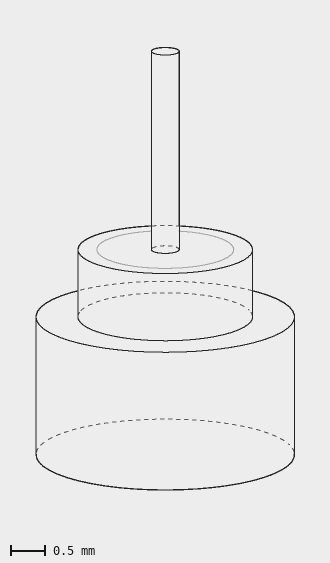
import cadquery as cq

body_diameter = 3.7
body_height = 2.05
collar_diameter = 2.5
collar_height = 1.0
insulator_diameter = 1.96
pin_diameter = 0.4
overall_height = 6.0

body_radius = body_diameter / 2
collar_radius = collar_diameter / 2
insulator_radius = insulator_diameter / 2
pin_radius = pin_diameter / 2
collar_top = body_height + collar_height


def make_feed_through():
    """Revolve the stepped half profile, drawn on the -X side, around Z."""
    profile = (
        cq.Workplane("XZ")
        .moveTo(0, 0)
        .lineTo(-body_radius, 0)
        .lineTo(-body_radius, body_height)
        .lineTo(-collar_radius, body_height)
        .lineTo(-collar_radius, collar_top)
        .lineTo(-insulator_radius, collar_top)
        .lineTo(-pin_radius, collar_top)
        .lineTo(-pin_radius, overall_height)
        .lineTo(0, overall_height)
        .close()
    )
    return profile.revolve(360, (0, 0), (0, 1), clean=False)


result = make_feed_through()